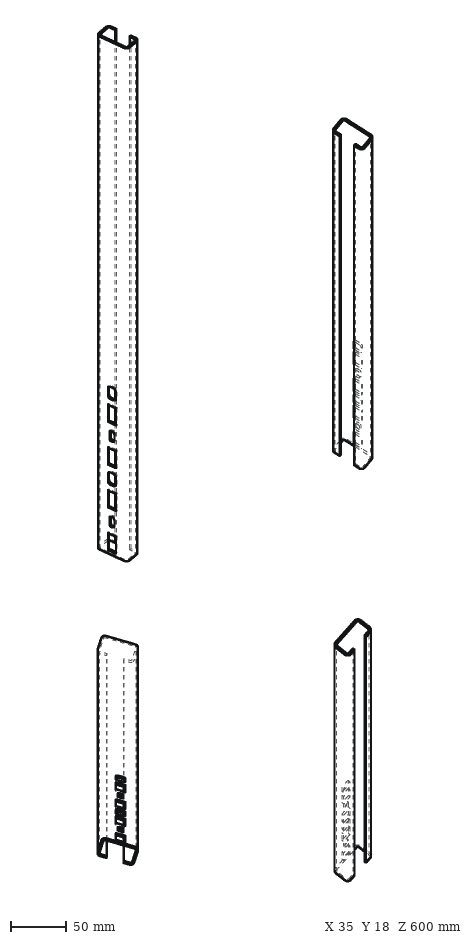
import cadquery as cq

length = 600.0
width = 35.0
depth = 18.0
wall = 2.0
bend_radius = 3.5
mouth_width = 16.0

first_slot_height = 14.0
slot_row_length = 175.0
long_slot = (9.0, 20.0, 0.0)
medium_slot = (9.0, 14.5, 3.0)
small_slot = (5.5, 12.0, 2.5)
slot_sequence = [long_slot, small_slot, long_slot, medium_slot] * 2
slot_pitch = slot_row_length / (len(slot_sequence) - 1)


def make_rail():
    """C-shaped rail with its base at -Y and its mouth at +Y."""
    outer = cq.Workplane("XY").rect(width, depth).extrude(length)
    outer = outer.edges("|Z").fillet(bend_radius)
    inner = cq.Workplane("XY").rect(width - 2 * wall, depth - 2 * wall).extrude(length)
    inner = inner.edges("|Z").fillet(bend_radius - wall)
    mouth = cq.Workplane("XY").center(0, depth / 2).rect(mouth_width, depth).extrude(length)
    return outer.cut(inner).cut(mouth)


def make_slot(slot, height):
    """Cutter through the base, centred at the given height."""
    slot_width, slot_height, corner_radius = slot
    cutter = cq.Workplane("XY").box(slot_width, depth, slot_height)
    if corner_radius > 0:
        cutter = cutter.edges("|Y").fillet(corner_radius)
    return cutter.translate((0, -depth / 2, height))


result = make_rail()
for index, slot in enumerate(slot_sequence):
    result = result.cut(make_slot(slot, first_slot_height + index * slot_pitch))